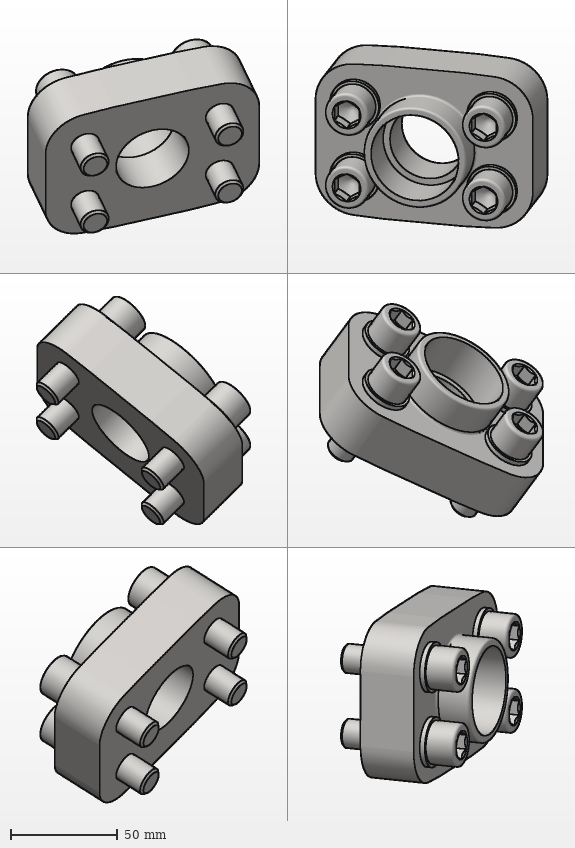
import cadquery as cq
import math


PLATE_WIDTH = 106.0
PLATE_HEIGHT = 77.0
PLATE_THICKNESS = 27.0
CORNER_RADIUS = 19.6
FLAT_HALF_WIDTH = 19.3

BOLT_Y = PLATE_WIDTH / 2 - CORNER_RADIUS
BOLT_PITCH_Z = 36.6
BOLT_Z = BOLT_PITCH_Z / 2

COLLAR_RADIUS = 24.9
COLLAR_LENGTH = 17.0
COLLAR_EDGE_FILLET = 1.2
COLLAR_ROOT_FILLET = 1.2
BORE_RADIUS = 18.0
SOCKET_RADIUS = 21.3
SOCKET_DEPTH = 22.0

WASHER_RADIUS = 12.0
WASHER_THICKNESS = 2.5
HEAD_RADIUS = 10.5
HEAD_LENGTH = 14.0
HEAD_FILLET = 1.4
SHANK_RADIUS = 7.0
SHANK_PROTRUSION = 15.5
SHANK_CHAMFER = 1.2
HEX_FLATS = 12.0
HEX_DEPTH = 7.0
HEX_TIP_ANGLE = 120.0
HEX_MOUTH_RADIUS = 6.9
HEX_MOUTH_ANGLE = 90.0

HEX_CORNER_RADIUS = HEX_FLATS / math.sqrt(3)
HEAD_FACE_X = -WASHER_THICKNESS - HEAD_LENGTH


def cylinder(radius, x_start, x_end):
    """Solid cylinder along the X axis."""
    return cq.Workplane("YZ").workplane(offset=x_start).circle(radius).extrude(x_end - x_start)


def plate_outline_points():
    """Upper-right quarter of the outline: flat end, tangent point, corner middle and corner end."""
    flat_z = PLATE_HEIGHT / 2
    dy = FLAT_HALF_WIDTH - BOLT_Y
    dz = flat_z - BOLT_Z
    tangent_angle = math.atan2(dz, dy) - math.acos(CORNER_RADIUS / math.hypot(dy, dz))

    def on_corner(angle):
        return (BOLT_Y + CORNER_RADIUS * math.cos(angle), BOLT_Z + CORNER_RADIUS * math.sin(angle))

    return (FLAT_HALF_WIDTH, flat_z), on_corner(tangent_angle), on_corner(tangent_angle / 2), on_corner(0)


def make_plate():
    """Plate with large round corners and slightly sloped long edges beside a central flat."""
    flat_end, tangent, corner_middle, corner_end = plate_outline_points()
    outline = cq.Workplane("YZ").moveTo(0, flat_end[1]).lineTo(*flat_end).lineTo(*tangent)
    outline = outline.threePointArc(corner_middle, corner_end).lineTo(corner_end[0], 0)
    return outline.mirrorX().mirrorY().extrude(PLATE_THICKNESS)


def make_collar():
    """Collar with a rounded front edge and a concave fillet where it meets the plate."""
    front = -COLLAR_LENGTH
    root = COLLAR_ROOT_FILLET
    collar = cylinder(COLLAR_RADIUS, front, 0).faces("<X").edges().fillet(COLLAR_EDGE_FILLET)
    skirt = cylinder(COLLAR_RADIUS + root, -root, 0)
    groove = cq.Solid.makeTorus(COLLAR_RADIUS + root, root, cq.Vector(-root, 0, 0), cq.Vector(1, 0, 0))
    return collar.union(skirt.cut(cq.Workplane(groove)))


def make_hex_socket():
    """Hexagonal key recess with corners pointing along Z, a countersunk mouth and a drill-point bottom."""
    x_axis = cq.Vector(1, 0, 0)
    tip_length = HEX_CORNER_RADIUS / math.tan(math.radians(HEX_TIP_ANGLE / 2))
    hexagon = (
        cq.Workplane("YZ", origin=(HEAD_FACE_X, 0, 0))
        .transformed(rotate=(0, 0, 90))
        .polygon(6, 2 * HEX_CORNER_RADIUS)
        .extrude(HEX_DEPTH + tip_length)
    )
    tip_start = HEAD_FACE_X + HEX_DEPTH
    tip = cq.Solid.makeCone(HEX_CORNER_RADIUS, 0, tip_length, cq.Vector(tip_start, 0, 0), x_axis)
    drill = cylinder(HEX_CORNER_RADIUS, HEAD_FACE_X, tip_start).union(cq.Workplane(tip))
    mouth_depth = HEX_MOUTH_RADIUS / math.tan(math.radians(HEX_MOUTH_ANGLE / 2))
    mouth = cq.Solid.makeCone(HEX_MOUTH_RADIUS, 0, mouth_depth, cq.Vector(HEAD_FACE_X, 0, 0), x_axis)
    return hexagon.intersect(drill).union(cq.Workplane(mouth))


def make_bolt():
    """Socket-head bolt with its washer, lying on the X axis."""
    head = cylinder(HEAD_RADIUS, HEAD_FACE_X, 0).faces("<X").edges().fillet(HEAD_FILLET)
    washer = cylinder(WASHER_RADIUS, -WASHER_THICKNESS, 0)
    shank = cylinder(SHANK_RADIUS, 0, PLATE_THICKNESS + SHANK_PROTRUSION)
    shank = shank.faces(">X").chamfer(SHANK_CHAMFER)
    return head.union(washer).union(shank).cut(make_hex_socket())


flange = make_plate().union(make_collar())

flange = flange.cut(cylinder(BORE_RADIUS, -COLLAR_LENGTH, PLATE_THICKNESS))
flange = flange.cut(cylinder(SOCKET_RADIUS, -COLLAR_LENGTH, SOCKET_DEPTH - COLLAR_LENGTH))

bolt = make_bolt()
for y in (-BOLT_Y, BOLT_Y):
    for z in (-BOLT_Z, BOLT_Z):
        flange = flange.union(bolt.translate((0, y, z)))

result = flange